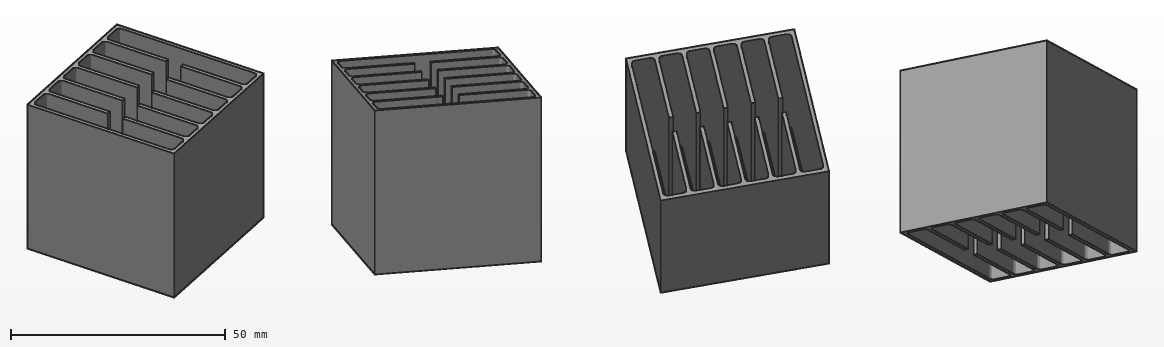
import cadquery as cq

side = 40.0
height = 40.0
wall = 1.0
slot_count = 6
central_gap = 4.0
corner_radius = 1.0

inner_side = side - 2 * wall
slot_width = (side - (slot_count + 1) * wall) / slot_count
slot_pitch = slot_width + wall
slot_centers = [(0, (i - (slot_count - 1) / 2) * slot_pitch) for i in range(slot_count)]


def make_slots():
    """Rounded rectangular slots running the full height."""
    return (
        cq.Workplane("XY")
        .pushPoints(slot_centers)
        .rect(inner_side, slot_width)
        .extrude(height)
        .edges("|Z")
        .fillet(corner_radius)
    )


def make_central_passage():
    """Passage that splits every divider into two fins and joins the slots."""
    passage_length = inner_side - slot_width
    return cq.Workplane("XY").rect(central_gap, passage_length).extrude(height)


block = cq.Workplane("XY").rect(side, side).extrude(height)
result = block.cut(make_slots()).cut(make_central_passage())